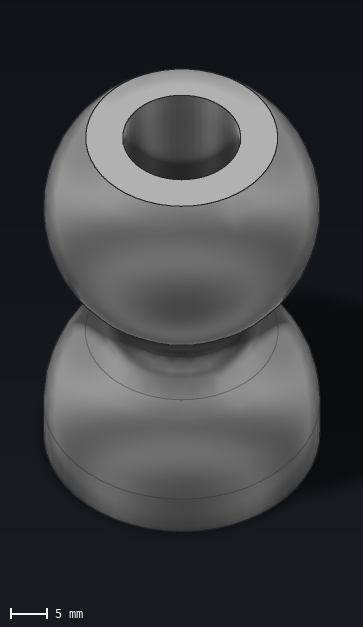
import cadquery as cq
import math

height = 57.25
ball_diameter = 37.5
bore_diameter = 16.0
base_height = 6.3
neck_height = 25.0
neck_radius = 10.15
blend_offset = 5.25
blend_tangent = 2.3
waist_tangent = 2.0

ball_radius = ball_diameter / 2
upper_center = 2 * neck_height - base_height
lower_blend = neck_height - blend_offset
upper_blend = neck_height + blend_offset


def ball_radius_at(rise):
    """Radius of a ball's circular section at a distance from its center."""
    return math.sqrt(ball_radius**2 - rise**2)


blend_radius = ball_radius_at(lower_blend - base_height)
top_radius = ball_radius_at(height - upper_center)
lower_rise = (lower_blend - base_height) / 2

handle_rise = blend_tangent * (lower_blend - base_height) / ball_radius
handle_run = blend_tangent * blend_radius / ball_radius
lower_neck = [
    (blend_radius, lower_blend),
    (blend_radius - handle_rise, lower_blend + handle_run),
    (neck_radius, neck_height - waist_tangent),
    (neck_radius, neck_height),
]
upper_neck = [(radius, 2 * neck_height - level) for radius, level in reversed(lower_neck)]

body = (
    cq.Workplane("XZ")
    .lineTo(ball_radius, 0)
    .lineTo(ball_radius, base_height)
    .threePointArc(
        (ball_radius_at(lower_rise), base_height + lower_rise),
        (blend_radius, lower_blend),
    )
    .bezier(lower_neck)
    .bezier(upper_neck)
    .threePointArc((ball_radius, upper_center), (top_radius, height))
    .lineTo(0, height)
    .close()
    .revolve(360, (0, 0), (0, 1))
)

bore = cq.Workplane("XY").circle(bore_diameter / 2).extrude(height)

result = body.cut(bore)